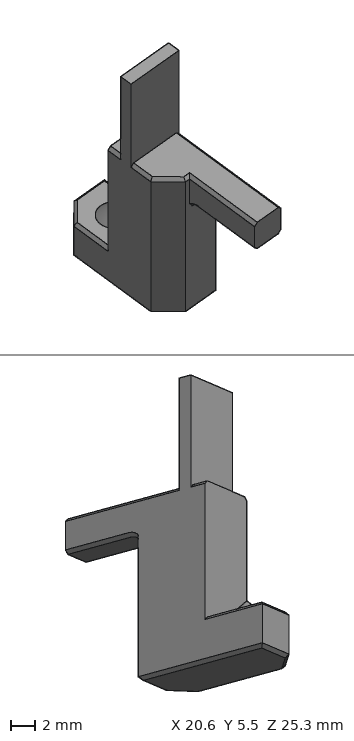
import cadquery as cq

length = 20.6
depth = 5.5
height = 25.3

edge_chamfer = 0.3
corner_chamfer = 2.0

foot_height = 4.0
column_left = 6.0
column_right = 13.0
column_top = 15.85

arm_depth = 3.0
arm_height = 3.09
arm_fillet = 1.1
fillet_inset = 0.13
fillet_left = column_right - fillet_inset
arm_front = depth - arm_depth
arm_bottom = column_top - arm_height

blade_left = 7.5
blade_thickness = 1.21

cone_x = 3.6
cone_y = 3.0
cone_diameter = 2.99
cone_height = cone_diameter / 2

tolerance = 0.003


def box(x_min, x_max, y_min, y_max, z_min, z_max):
    """Make a box from its limits along each axis."""
    size = (x_max - x_min, y_max - y_min, z_max - z_min)
    return cq.Workplane("XY").box(*size, centered=False).translate((x_min, y_min, z_min))


def make_foot_and_column():
    """L-shaped body with its two front corners cut off and its base edges chamfered."""
    foot = box(0, column_right, 0, depth, 0, foot_height)
    column = box(column_left, column_right, 0, depth, 0, column_top)
    outline = (
        cq.Workplane("XY")
        .moveTo(corner_chamfer, 0)
        .lineTo(column_right - corner_chamfer, 0)
        .lineTo(column_right, corner_chamfer)
        .lineTo(column_right, depth)
        .lineTo(0, depth)
        .lineTo(0, corner_chamfer)
        .close()
        .extrude(column_top)
    )
    body = foot.union(column).intersect(outline)
    return body.faces("<Z").edges().chamfer(edge_chamfer)


def make_arm():
    """Arm with a filleted root and chamfered lower long edges; its root lies inside the column."""
    root_left = column_right - corner_chamfer
    root_bottom = arm_bottom - 2 * arm_fillet
    arm = (
        cq.Workplane("XZ", origin=(0, depth, 0))
        .moveTo(root_left, column_top)
        .lineTo(length, column_top)
        .lineTo(length, arm_bottom)
        .lineTo(fillet_left + arm_fillet, arm_bottom)
        .radiusArc((fillet_left, arm_bottom - arm_fillet), -arm_fillet)
        .lineTo(fillet_left, root_bottom)
        .lineTo(root_left, root_bottom)
        .close()
        .extrude(arm_depth)
    )
    for y in (arm_front, depth):
        near_fillet = (fillet_left + arm_fillet / 2, y, arm_bottom - arm_fillet / 2)
        arm = arm.edges(cq.selectors.NearestToPointSelector(near_fillet)).chamfer(edge_chamfer)
    return arm


def chamfer_top(body, z, plain_edges_x):
    """Chamfer the edges at height z, except those running along Y at the X positions in plain_edges_x."""

    def is_chamfered(edge):
        bounds = edge.BoundingBox()
        at_height = abs(bounds.zmin - z) < tolerance and abs(bounds.zmax - z) < tolerance
        is_plain = any(
            abs(bounds.xmin - x) < tolerance and abs(bounds.xmax - x) < tolerance
            for x in plain_edges_x
        )
        return at_height and not is_plain

    return body.edges().filter(is_chamfered).chamfer(edge_chamfer)


def make_blade():
    """Full-depth blade, rooted below the chamfer of the column top."""
    blade_right = blade_left + blade_thickness
    return box(blade_left, blade_right, 0, depth, column_top - edge_chamfer, height)


def make_cone():
    """Pointed cone standing on the foot."""
    cone = cq.Solid.makeCone(cone_diameter / 2, 0, cone_height, pnt=cq.Vector(cone_x, cone_y, foot_height))
    return cq.Workplane(obj=cone)


body = make_foot_and_column().union(make_arm())
body = chamfer_top(body, column_top, (column_left, length))
body = chamfer_top(body, foot_height, (column_left,))
result = body.union(make_blade()).union(make_cone())